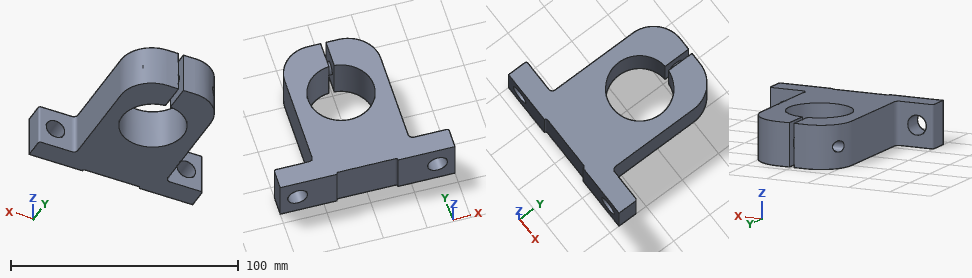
import cadquery as cq

length = 80.0
height = 70.0
thickness = 20.0

foot_height = 10.0
mount_spacing = 64.0
mount_diameter = thickness * 0.45
recess_width = 28.0
recess_depth = thickness / 20
inner_fillet = 2.0
foot_edge_fillet = inner_fillet / 2

upright_width = 44.0
bore_diameter = 30.0
bore_height = 42.0
top_radius = bore_diameter / 2
slit_width = 2.4

screw_diameter = 6.0
tapping_diameter = screw_diameter * 5 / 6
screw_drop = height / 10
screw_height = height - screw_drop
screw_start = -7.0
end_cover = 3.2
side_at_screw = (
    upright_width / 2
    - top_radius
    + (top_radius**2 - (top_radius - screw_drop) ** 2) ** 0.5
)
screw_end = side_at_screw - end_cover


def block(width, block_height, bottom=0.0):
    """Full-thickness block, centred on X, standing on Y = bottom."""
    return (
        cq.Workplane("XY")
        .center(0, bottom + block_height / 2)
        .rect(width, block_height)
        .extrude(thickness)
    )


def rod_along_x(diameter, start, end):
    """Cylinder on the clamp screw axis, from X = start to X = end."""
    return (
        cq.Workplane("YZ", origin=(start, screw_height, thickness / 2))
        .circle(diameter / 2)
        .extrude(end - start)
    )


def make_foot():
    foot = block(length, foot_height)
    return foot.edges("|Z and >Y").fillet(foot_edge_fillet)


def make_upright():
    upright = block(upright_width, height)
    return upright.edges("|Z and >Y").fillet(top_radius)


def fillet_inner_corners(body):
    """Round the corners between the foot and the upright."""
    half_width = upright_width / 2
    margin = 0.8
    corners = cq.selectors.BoxSelector(
        (-half_width - margin, foot_height - margin, 0),
        (half_width + margin, foot_height + margin, thickness),
    )
    return body.edges("|Z").edges(corners).fillet(inner_fillet)


def make_recess():
    """Shallow relief under the foot, with rounded inner corners."""
    half_width = recess_width / 2
    flat_half_width = half_width - recess_depth
    outline = (
        cq.Workplane("XY")
        .moveTo(-half_width, 0)
        .radiusArc((-flat_half_width, recess_depth), recess_depth)
        .lineTo(flat_half_width, recess_depth)
        .radiusArc((half_width, 0), recess_depth)
        .close()
    )
    return outline.extrude(thickness)


def make_mount_holes():
    return (
        cq.Workplane("XZ", origin=(0, 0, thickness / 2))
        .pushPoints([(-mount_spacing / 2, 0), (mount_spacing / 2, 0)])
        .circle(mount_diameter / 2)
        .extrude(-foot_height)
    )


def make_bore():
    return (
        cq.Workplane("XY")
        .center(0, bore_height)
        .circle(bore_diameter / 2)
        .extrude(thickness)
    )


def make_screw():
    return rod_along_x(screw_diameter, screw_start, screw_end)


def make_housing():
    body = make_foot().union(make_upright())
    body = fillet_inner_corners(body)
    body = body.cut(make_recess()).cut(make_mount_holes()).cut(make_bore())
    body = body.cut(block(slit_width, height - bore_height, bore_height))
    body = body.cut(make_screw())
    return body.cut(rod_along_x(tapping_diameter, -upright_width / 2, screw_start))


housing = make_housing()
screw = make_screw()

result = cq.Compound.makeCompound([housing.val(), screw.val()])